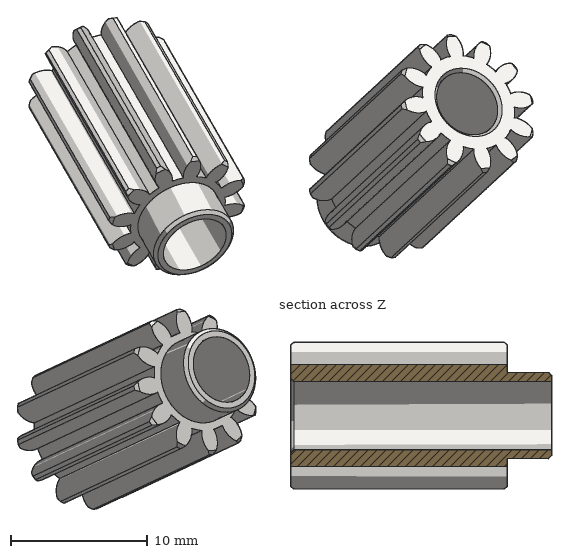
import cadquery as cq
import math

total_length = 19.18
gear_length = 15.92

tip_radius = 5.55
root_radius = 3.75
hub_radius = 3.18
bore_radius = 2.5

chamfer = 0.25

tooth_count = 12
root_half_width = 0.547
belly_distance = 4.5
belly_half_width = 0.643
tip_half_width = 0.163

tooth_pitch = 360 / tooth_count
first_tooth_angle = tooth_pitch / 2


def distance_at(radius, half_width):
    """Distance along the tooth axis where a circle reaches the given half width."""
    return math.sqrt(radius**2 - half_width**2)


def make_tooth():
    """One barrel-sided tooth along +Y, with its foot sunk into the core."""
    foot = distance_at(root_radius, root_half_width)
    tip = distance_at(tip_radius, tip_half_width)
    sunk_foot = (hub_radius + root_radius) / 2
    return (
        cq.Workplane("YZ")
        .moveTo(sunk_foot, -root_half_width)
        .lineTo(foot, -root_half_width)
        .threePointArc((belly_distance, -belly_half_width), (tip, -tip_half_width))
        .threePointArc((tip_radius, 0), (tip, tip_half_width))
        .threePointArc((belly_distance, belly_half_width), (foot, root_half_width))
        .lineTo(sunk_foot, root_half_width)
        .close()
        .extrude(gear_length)
    )


def make_gear():
    """Toothed body with the tooth tips bevelled at both ends."""
    gear = cq.Workplane("YZ").circle(root_radius).extrude(gear_length)
    tooth = make_tooth()
    for index in range(tooth_count):
        angle = first_tooth_angle + index * tooth_pitch
        gear = gear.union(tooth.rotate((0, 0, 0), (1, 0, 0), angle))
    bevelled_blank = (
        cq.Workplane("YZ").circle(tip_radius).extrude(gear_length).edges().chamfer(chamfer)
    )
    return gear.intersect(bevelled_blank)


def make_hub():
    """Plain hub running inside the gear and out of its +X end."""
    return cq.Workplane("YZ").circle(hub_radius).extrude(total_length).faces(">X").edges().chamfer(chamfer)


def make_bore():
    """Through bore with a countersunk mouth at the gear end."""
    mouth_radius = bore_radius + chamfer
    return (
        cq.Workplane("XY")
        .polyline([
            (0, 0),
            (0, mouth_radius),
            (chamfer, bore_radius),
            (total_length, bore_radius),
            (total_length, 0),
        ])
        .close()
        .revolve(360, (0, 0, 0), (1, 0, 0))
    )


result = make_gear().union(make_hub()).cut(make_bore())